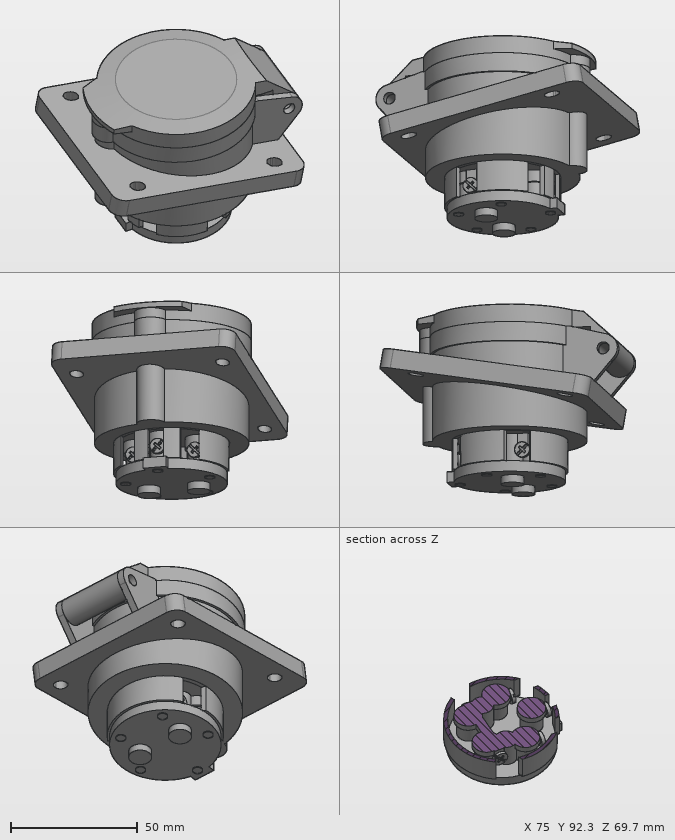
import cadquery as cq
import math


overall_length = 92.3

cap_bottom = 3.0
cap_top = 7.3
housing_bottom = 19.6
seat_top = 22.3
collar_bottom = 53.7
lid_bottom = 61.3
tab_bottom = 65.1
lid_rim_top = 68.3
lid_top = 69.7

barrel_radius = 30.4
collar_radius = 31.4
barrel_lobe_radius = 5.7
barrel_lobe_reach = 35.0
collar_lobe_radius = 6.5
collar_lobe_reach = 36.2

flange_tilt = 10.0
flange_width = 75.0
flange_length = 85.1
flange_thickness = 7.7
flange_corner_radius = 5.3
flange_center_y = -2.8
flange_center_z = 40.5
flange_slot_width = 5.3
flange_slot_length = 6.1
flange_slot_spacing_x = 59.8
flange_slot_spacing_y = 60.0
flange_slot_center_y = -1.5

hinge_z = 51.85
hinge_radius = 5.7
hinge_hole_radius = 2.4
arm_half_width = 14.2
ear_thickness = 2.95
ear_top_slope = 14.5
ear_bottom_slope = 49.2
ear_foot_y = 35.2
ear_inner_y = 24.9
arm_slope = 42.7

tilt = math.radians(flange_tilt)
flange_half_span = (flange_length * math.cos(tilt) + flange_thickness * math.sin(tilt)) / 2
hinge_y = flange_center_y - flange_half_span + overall_length - hinge_radius

lid_flat_radius = 23.9
lid_radius = collar_radius
tab_radius = 36.7
tab_root_half_width = 15.9
tab_root_y = -27.0
tab_tip_half_width = 13.9

sleeve_radius = 22.9
sleeve_inner_radius = 21.1
front_window_width = 6.3
corner_window_width = 6.6
side_window_outer_y = (2.5, 14.0)
side_window_inner_y = (4.4, 11.5)
side_window_inner_x = 17.5

terminal_count = 5
terminal_circle_radius = 13.3
terminal_radius = 4.6
terminal_collar_radius = 5.7
terminal_collar_bottom = 14.85
post_radius = 4.5
post_x = 10.15
post_y = 3.2
screw_head_radius = 3.0
screw_head_height = 1.6
screw_shank_radius = 1.8
screw_z = 12.9
screw_reach = 7.4
side_screw_y = 8.1
side_boss_width = 4.2
side_boss_reach = 14.0
drive_depth = 0.7
drive_width = 0.8
drive_cross_length = 3.3

cap_radius = 22.0
cap_tab_width = 9.4
cap_tab_reach = 24.4
bump_radius = 2.0
bump_height = 0.4
bump_circle_radius = 18.1
front_bump_y = -20.0

window_x = terminal_circle_radius * math.sin(math.radians(360 / terminal_count))


def cylinder(radius, z_low, z_high, x=0, y=0):
    return cq.Workplane("XY", origin=(x, y, z_low)).circle(radius).extrude(z_high - z_low)


def block(x_range, y_range, z_range):
    lows, highs = zip(x_range, y_range, z_range)
    size = [high - low for low, high in zip(lows, highs)]
    return cq.Workplane("XY").box(*size, centered=False).translate(lows)


def ring_points(radius):
    """Points spaced like the terminals around a circle, the first on the -Y side."""
    turns = [math.radians(-90 + index * 360 / terminal_count) for index in range(terminal_count)]
    return [(radius * math.cos(turn), radius * math.sin(turn)) for turn in turns]


def lobe(radius, reach, z_low, z_high):
    """Round keyway lobe standing out on the -Y side."""
    return cylinder(radius, z_low, z_high, y=radius - reach)


def side_plate(points, x_low, x_high):
    """Plate with a YZ outline between two X positions."""
    return cq.Workplane("YZ", origin=(x_low, 0, 0)).polyline(points).close().extrude(x_high - x_low)


def hinge_cylinder(radius, x_low, x_high):
    start = cq.Workplane("YZ", origin=(x_low, hinge_y, hinge_z))
    return start.circle(radius).extrude(x_high - x_low)


def hinge_point(angle):
    """Point of the hinge outline at an angle from +Y towards +Z."""
    turn = math.radians(angle)
    return hinge_y + hinge_radius * math.cos(turn), hinge_z + hinge_radius * math.sin(turn)


def make_flange():
    """Tilted plate with rounded corners and four slots running parallel to the socket axis."""
    plane = cq.Plane(
        origin=(0, flange_center_y, flange_center_z),
        xDir=(1, 0, 0),
        normal=(0, math.sin(tilt), math.cos(tilt)),
    )
    plate = (
        cq.Workplane(plane)
        .sketch()
        .rect(flange_width, flange_length)
        .vertices()
        .fillet(flange_corner_radius)
        .finalize()
        .extrude(flange_thickness / 2, both=True)
    )
    slots = (
        cq.Workplane("XY", origin=(0, flange_slot_center_y, 0))
        .rect(flange_slot_spacing_x, flange_slot_spacing_y, forConstruction=True)
        .vertices()
        .slot2D(flange_slot_length, flange_slot_width, 90)
        .extrude(lid_top)
    )
    return plate.cut(slots)


def make_ear(x_low):
    """Hinge ear rising from the flange, with edges tangent to its round end."""
    top_y, top_z = hinge_point(90 - ear_top_slope)
    low_y, low_z = hinge_point(ear_bottom_slope - 90)
    crest_y = top_y - (lid_bottom - top_z) / math.tan(math.radians(ear_top_slope))
    foot_z = low_z - (low_y - ear_foot_y) * math.tan(math.radians(ear_bottom_slope))
    outline = [
        (ear_inner_y, lid_bottom),
        (crest_y, lid_bottom),
        (top_y, top_z),
        (hinge_y, hinge_z),
        (low_y, low_z),
        (ear_foot_y, foot_z),
        (ear_inner_y, foot_z),
    ]
    x_high = x_low + ear_thickness
    return side_plate(outline, x_low, x_high).union(hinge_cylinder(hinge_radius, x_low, x_high))


def make_housing():
    body = cylinder(barrel_radius, housing_bottom, collar_bottom)
    body = body.union(lobe(barrel_lobe_radius, barrel_lobe_reach, housing_bottom, collar_bottom))
    body = body.union(cylinder(collar_radius, collar_bottom, lid_bottom))
    body = body.union(lobe(collar_lobe_radius, collar_lobe_reach, collar_bottom, lid_bottom))
    body = body.union(make_flange())
    for x_low in (-arm_half_width - ear_thickness, arm_half_width):
        body = body.union(make_ear(x_low))
    body = body.cut(hinge_cylinder(hinge_hole_radius, -flange_width, flange_width))
    return body.cut(cylinder(sleeve_radius, housing_bottom, seat_top))


def make_lid_arm():
    top_y, top_z = hinge_point(90 - arm_slope)
    peak_y = top_y - (lid_top - top_z) / math.tan(math.radians(arm_slope))
    outline = [
        (0, lid_bottom),
        (hinge_y - hinge_radius, lid_bottom),
        (hinge_y - hinge_radius, hinge_z),
        (hinge_y, hinge_z),
        (top_y, top_z),
        (peak_y, lid_top),
        (0, lid_top),
    ]
    arm = side_plate(outline, -arm_half_width, arm_half_width)
    arm = arm.union(hinge_cylinder(hinge_radius, -arm_half_width, arm_half_width))
    return arm.cut(hinge_cylinder(hinge_hole_radius, -arm_half_width, arm_half_width))


def make_lid_tab():
    tip_y = -math.sqrt(tab_radius**2 - tab_tip_half_width**2)
    return (
        cq.Workplane("XY", origin=(0, 0, tab_bottom))
        .moveTo(-tab_root_half_width, tab_root_y)
        .lineTo(-tab_tip_half_width, tip_y)
        .threePointArc((0, -tab_radius), (tab_tip_half_width, tip_y))
        .lineTo(tab_root_half_width, tab_root_y)
        .close()
        .extrude(lid_top - tab_bottom)
    )


def make_lid_envelope():
    """Space below the lid's shallow cone, wide enough for the tab and the hinge arm."""
    cone_slope = (lid_top - lid_rim_top) / (lid_radius - lid_flat_radius)
    outer_radius = flange_length
    outer_z = lid_top - cone_slope * (outer_radius - lid_flat_radius)
    outline = [(0, 0), (outer_radius, 0), (outer_radius, outer_z), (lid_flat_radius, lid_top), (0, lid_top)]
    return cq.Workplane("XZ").polyline(outline).close().revolve(360, (0, 0, 0), (0, 1, 0))


def make_lid():
    body = cylinder(lid_radius, lid_bottom, lid_top)
    body = body.union(lobe(collar_lobe_radius, collar_lobe_reach, lid_bottom, tab_bottom))
    body = body.union(make_lid_tab()).union(make_lid_arm())
    return body.intersect(make_lid_envelope())


def make_side_window(side):
    """Cutter for a side window that narrows towards the socket axis."""
    outer_low, outer_high = side_window_outer_y
    inner_low, inner_high = side_window_inner_y
    outline = [
        (side * sleeve_radius, outer_low),
        (side * sleeve_radius, outer_high),
        (side * side_window_inner_x, inner_high),
        (side * side_window_inner_x, inner_low),
    ]
    start = cq.Workplane("XY", origin=(0, 0, cap_top))
    return start.polyline(outline).close().extrude(housing_bottom - cap_top)


def make_sleeve():
    """Thin skirt, its rim seated in the housing, with five windows in front of the terminal screws."""
    sleeve = cylinder(sleeve_radius, cap_top, seat_top)
    sleeve = sleeve.cut(cylinder(sleeve_inner_radius, cap_top, seat_top))
    heights = (cap_top, housing_bottom)
    windows = [
        (-window_x, corner_window_width),
        (0, front_window_width),
        (window_x, corner_window_width),
    ]
    for center, width in windows:
        sleeve = sleeve.cut(block((center - width / 2, center + width / 2), (-sleeve_radius, 0), heights))
    for side in (-1, 1):
        sleeve = sleeve.cut(make_side_window(side))
    return sleeve


def make_screw(x, y, facing, slant):
    """Screw standing out of a terminal; `facing` turns it about Z from -Y, `slant` turns its slot."""
    screw = cq.Workplane("XZ").circle(screw_shank_radius).extrude(screw_reach)
    head_start = cq.Workplane("XZ", origin=(0, screw_head_height - screw_reach, 0))
    screw = screw.union(head_start.circle(screw_head_radius).extrude(screw_head_height))
    face = cq.Workplane("XZ", origin=(0, -screw_reach, 0)).transformed(rotate=(0, 0, slant))
    screw = screw.cut(face.rect(2 * screw_head_radius, drive_width).extrude(-drive_depth))
    screw = screw.cut(face.rect(drive_width, drive_cross_length).extrude(-drive_depth))
    return screw.rotate((0, 0, 0), (0, 0, 1), facing).translate((x, y, screw_z))


def make_terminal_block():
    """Seat plate carrying the terminals with their screws, and two posts that pass through the cap."""
    body = cylinder(sleeve_inner_radius, housing_bottom, seat_top)
    terminals = ring_points(terminal_circle_radius)
    for x, y in terminals:
        body = body.union(cylinder(terminal_radius, cap_top, housing_bottom, x, y))
        body = body.union(cylinder(terminal_collar_radius, terminal_collar_bottom, housing_bottom, x, y))
    for x in (-post_x, post_x):
        body = body.union(cylinder(post_radius, 0, housing_bottom, x, post_y))
    half_boss = side_boss_width / 2
    body = body.union(
        block(
            (-side_boss_reach, side_boss_reach),
            (side_screw_y - half_boss, side_screw_y + half_boss),
            (terminal_collar_bottom, housing_bottom),
        )
    )
    for x, y in terminals:
        if y < 0:
            body = body.union(make_screw(x, y, 0, -45 if x > terminal_radius else 45))
        else:
            side = math.copysign(1, x)
            body = body.union(make_screw(x, side_screw_y, 90 * side, 45 * side))
    return body


def make_cap():
    cap = cylinder(cap_radius, cap_bottom, cap_top)
    half_tab = cap_tab_width / 2
    cap = cap.union(block((-half_tab, half_tab), (-cap_tab_reach, 0), (cap_bottom, cap_top)))
    bumps = [(0, front_bump_y)] + ring_points(bump_circle_radius)[1:]
    for x, y in bumps:
        cap = cap.union(cylinder(bump_radius, cap_bottom - bump_height, cap_bottom, x, y))
    for x in (-post_x, post_x):
        cap = cap.cut(cylinder(post_radius, cap_bottom, cap_top, x, post_y))
    return cap


housing = make_housing()
lid = make_lid()
sleeve = make_sleeve()
terminal_block = make_terminal_block()
cap = make_cap()

bodies = [housing, lid, sleeve, terminal_block, cap]
result = cq.Compound.makeCompound([body.solids().val() for body in bodies])